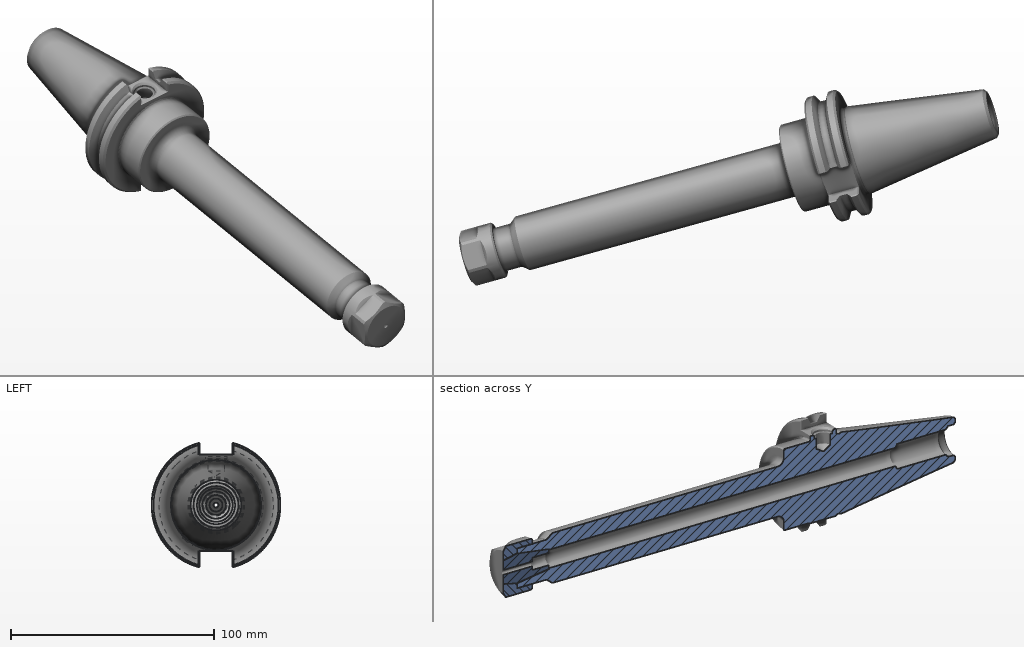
import cadquery as cq
import math


gauge_diameter = 44.45
taper_length = 68.26
taper_ratio = 7 / 24
shank_chamfer_length = 1.3
shank_face_diameter = 22.0
relief_diameter = 43.6
gauge_land_length = 0.8

flange_diameter = 63.5
flange_start = 3.18
flange_end = 19.05
flange_chamfer = 1.0
flange_root_fillet = 0.8
groove_center = 11.1
groove_floor_diameter = 56.2
groove_floor_width = 3.6
groove_half_angle = 30

slot_width = 16.1
slot_edge_chamfer = 0.6
upper_slot_height = 25.0
lower_slot_height = 22.6
slot_hole_diameter = 8.0
slot_hole_counterbore_diameter = 10.5
slot_hole_counterbore_depth = 2.0
slot_hole_mouth_diameter = 12.4
slot_hole_depth = 8.0
drill_half_angle = 59

collar_diameter = gauge_diameter
collar_end = 35.0
collar_chamfer = 0.6
extension_diameter = 27.43
extension_fillet = 3.5
extension_end = 177.2
extension_chamfer_length = 3.4
nose_diameter = 22.0
nose_end = 195.0

pilot_diameter = 16.46
pilot_mouth_diameter = 18.8
pilot_mouth_depth = 1.2
pilot_depth = 4.5
thread_bore_diameter = 13.38
thread_bore_depth = 35.0
through_bore_diameter = 9.73

nut_diameter = 28.0
nut_start = 185.7
nut_end = 203.2
nut_rear_chamfer = 0.8
nut_across_flats = 25.0
upper_flat_start = 193.9
lower_flat_start = 192.2
nut_face_diameter = 23.0
nut_face_chamfer_angle = 30
nut_mouth_diameter = 12.4

collet_length = 27.5
collet_rear_diameter = 10.5
collet_half_angle = 8
collet_rear_bore_diameter = 6.4
collet_rear_bore_depth = 10.0
collet_bore_diameter = 2.29
collet_start = nut_end - collet_length

shank_start = -taper_length


def revolve_profile(points):
    """Revolve (x, radius) points about the X axis."""
    return cq.Workplane("XY").polyline(points).close().revolve(360, (0, 0, 0), (1, 0, 0))


def cylinder(start, end, diameter):
    return cq.Workplane("YZ", origin=(start, 0, 0)).circle(diameter / 2).extrude(end - start)


def make_holder_blank():
    gauge_r = gauge_diameter / 2
    shank_r = gauge_r - taper_length * taper_ratio / 2
    chamfer_end_r = shank_r + shank_chamfer_length * taper_ratio / 2
    relief_r = relief_diameter / 2
    flange_r = flange_diameter / 2
    floor_r = groove_floor_diameter / 2
    floor_half = groove_floor_width / 2
    mouth_half = floor_half + (flange_r - floor_r) * math.tan(math.radians(groove_half_angle))
    collar_r = collar_diameter / 2
    extension_r = extension_diameter / 2
    fillet_end = collar_end + extension_fillet
    root_middle = flange_root_fillet * (1 - math.sqrt(0.5))
    fillet_middle = extension_fillet * (1 - math.sqrt(0.5))
    nose_r = nose_diameter / 2

    return (
        cq.Workplane("XY")
        .moveTo(shank_start, 0)
        .lineTo(shank_start, shank_face_diameter / 2)
        .lineTo(shank_start + shank_chamfer_length, chamfer_end_r)
        .lineTo(0, gauge_r)
        .lineTo(gauge_land_length, gauge_r)
        .lineTo(gauge_land_length + gauge_r - relief_r, relief_r)
        .lineTo(flange_start - flange_root_fillet, relief_r)
        .threePointArc(
            (flange_start - root_middle, relief_r + root_middle),
            (flange_start, relief_r + flange_root_fillet),
        )
        .lineTo(flange_start, flange_r - flange_chamfer)
        .lineTo(flange_start + flange_chamfer, flange_r)
        .lineTo(groove_center - mouth_half, flange_r)
        .lineTo(groove_center - floor_half, floor_r)
        .lineTo(groove_center + floor_half, floor_r)
        .lineTo(groove_center + mouth_half, flange_r)
        .lineTo(flange_end - flange_chamfer, flange_r)
        .lineTo(flange_end, flange_r - flange_chamfer)
        .lineTo(flange_end, collar_r + flange_root_fillet)
        .threePointArc(
            (flange_end + root_middle, collar_r + root_middle),
            (flange_end + flange_root_fillet, collar_r),
        )
        .lineTo(collar_end - collar_chamfer, collar_r)
        .lineTo(collar_end, collar_r - collar_chamfer)
        .lineTo(collar_end, extension_r + extension_fillet)
        .threePointArc((collar_end + fillet_middle, extension_r + fillet_middle), (fillet_end, extension_r))
        .lineTo(extension_end - extension_chamfer_length, extension_r)
        .lineTo(extension_end, nose_r)
        .lineTo(nose_end, nose_r)
        .lineTo(nose_end, 0)
        .close()
        .revolve(360, (0, 0, 0), (1, 0, 0))
    )


def make_drive_slot(floor_height):
    """Cutter for a slot open to +Z, with chamfers at its two ends and along the flange rim."""
    half = slot_width / 2
    wide_half = half + slot_edge_chamfer
    start = flange_start - flange_root_fillet
    end = flange_end + flange_root_fillet
    top = flange_diameter / 2
    plan = [
        (start, wide_half),
        (flange_start, wide_half),
        (flange_start + slot_edge_chamfer, half),
        (flange_end - slot_edge_chamfer, half),
        (flange_end, wide_half),
        (end, wide_half),
    ]
    mirrored_plan = [(x, -y) for x, y in reversed(plan)]
    slot = (
        cq.Workplane("XY", origin=(0, 0, floor_height))
        .polyline(plan + mirrored_plan)
        .close()
        .extrude(top - floor_height)
    )

    flare_start = math.sqrt(top**2 - half**2) - slot_edge_chamfer
    flare_half = half + top - flare_start
    flare = (
        cq.Workplane("YZ", origin=(start, 0, 0))
        .polyline([
            (-half, flare_start),
            (half, flare_start),
            (flare_half, top),
            (-flare_half, top),
        ])
        .close()
        .extrude(end - start)
    )
    return slot.union(flare)


def make_slot_hole():
    """Stepped blind hole with a chamfered mouth and a drill point, in the upper slot floor."""
    hole_r = slot_hole_diameter / 2
    mouth_r = slot_hole_mouth_diameter / 2
    counterbore_r = slot_hole_counterbore_diameter / 2
    counterbore_floor = upper_slot_height - slot_hole_counterbore_depth
    bottom = upper_slot_height - slot_hole_depth
    tip = bottom - hole_r / math.tan(math.radians(drill_half_angle))
    return (
        cq.Workplane("XZ")
        .polyline([
            (0, upper_slot_height),
            (mouth_r, upper_slot_height),
            (counterbore_r, upper_slot_height - (mouth_r - counterbore_r)),
            (counterbore_r, counterbore_floor),
            (hole_r, counterbore_floor),
            (hole_r, bottom),
            (0, tip),
        ])
        .close()
        .revolve(360, (0, 0, 0), (0, 1, 0))
        .translate((groove_center, 0, 0))
    )


def make_shank_bore():
    pilot_r = pilot_diameter / 2
    thread_r = thread_bore_diameter / 2
    through_r = through_bore_diameter / 2
    pilot_end = shank_start + pilot_depth
    thread_end = shank_start + thread_bore_depth
    drill_end = thread_end + (thread_r - through_r) / math.tan(math.radians(drill_half_angle))
    return revolve_profile([
        (shank_start, 0),
        (shank_start, pilot_mouth_diameter / 2),
        (shank_start + pilot_mouth_depth, pilot_r),
        (pilot_end, pilot_r),
        (pilot_end + pilot_r - thread_r, thread_r),
        (thread_end, thread_r),
        (drill_end, through_r),
        (nose_end, through_r),
        (nose_end, 0),
    ])


def make_collet_blank():
    """Collet widening forward to the holder nose, then narrowing to the nut mouth."""
    rear_r = collet_rear_diameter / 2
    front_r = rear_r + (nose_end - collet_start) * math.tan(math.radians(collet_half_angle))
    return revolve_profile([
        (collet_start, 0),
        (collet_start, rear_r),
        (nose_end, front_r),
        (nut_end, nut_mouth_diameter / 2),
        (nut_end, 0),
    ])


def make_nut_blank():
    nut_r = nut_diameter / 2
    face_r = nut_face_diameter / 2
    chamfer_length = (nut_r - face_r) * math.tan(math.radians(nut_face_chamfer_angle))
    return revolve_profile([
        (nut_start, 0),
        (nut_start, nut_r - nut_rear_chamfer),
        (nut_start + nut_rear_chamfer, nut_r),
        (nut_end - chamfer_length, nut_r),
        (nut_end, face_r),
        (nut_end, 0),
    ])


def make_flat_cutter(flat_start):
    """Cutter for the wrench flat facing +Y, running out rearward on a 45 degree ramp."""
    flat_y = nut_across_flats / 2
    rise = nut_diameter / 2
    return (
        cq.Workplane("XY")
        .polyline([
            (flat_start, flat_y),
            (nut_end, flat_y),
            (nut_end, flat_y + rise),
            (flat_start - rise, flat_y + rise),
        ])
        .close()
        .extrude(rise, both=True)
    )


def cut_wrench_flats(body):
    """Six flats: the first three, from +Y over the top, are shorter than the other three."""
    flat_starts = [upper_flat_start] * 3 + [lower_flat_start] * 3
    for i, flat_start in enumerate(flat_starts):
        cutter = make_flat_cutter(flat_start)
        body = body.cut(cutter.rotate((0, 0, 0), (1, 0, 0), i * 360 / len(flat_starts)))
    return body


collet_blank = make_collet_blank()

upper_slot = make_drive_slot(upper_slot_height)
lower_slot = make_drive_slot(lower_slot_height).rotate((0, 0, 0), (1, 0, 0), 180)
holder = make_holder_blank().cut(upper_slot).cut(lower_slot).cut(make_slot_hole())
holder = holder.cut(make_shank_bore()).cut(collet_blank)

nut = cut_wrench_flats(make_nut_blank())
nut = nut.cut(cylinder(nut_start, nose_end, nose_diameter)).cut(collet_blank)

collet = collet_blank.cut(cylinder(collet_start, nut_end, collet_bore_diameter))
collet = collet.cut(
    cylinder(collet_start, collet_start + collet_rear_bore_depth, collet_rear_bore_diameter)
)

result = cq.Compound.makeCompound([holder.val(), nut.val(), collet.val()])